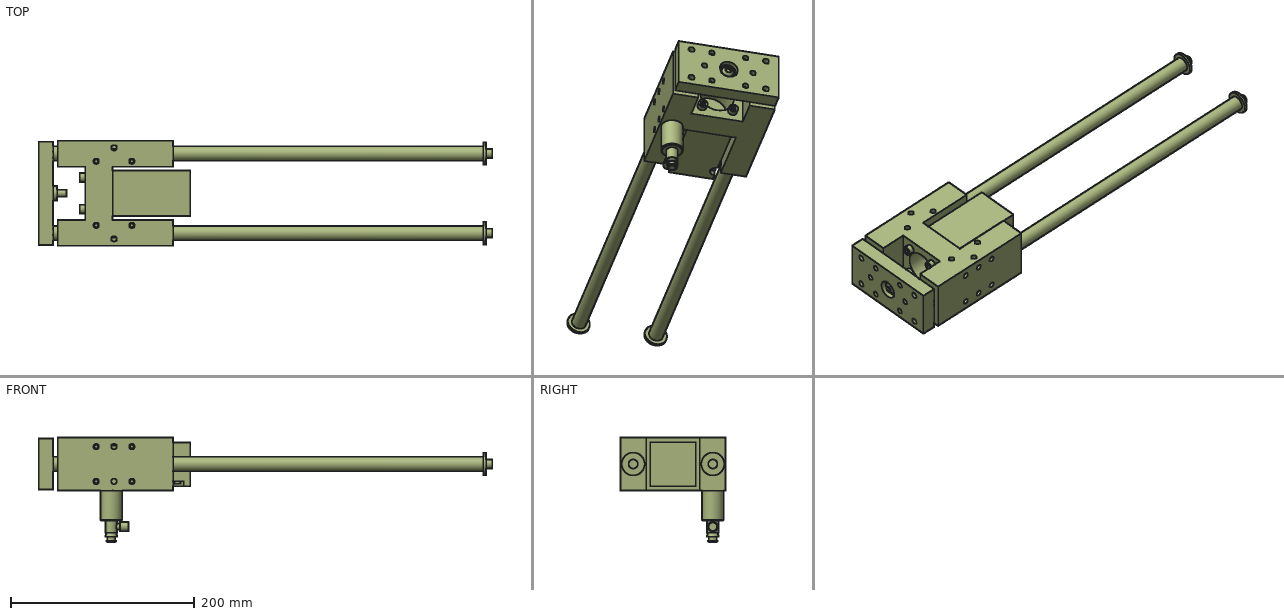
import cadquery as cq

overall_length = 496.0
overall_bottom_z = -85.36

housing_start_x = 21.0
housing_length = 126.0
housing_width = 115.0
housing_height = 58.0
web_start_x = 51.0
web_end_x = 81.0
arm_inner_y = 29.0
bore_diameter = 38.0
tap_diameter = 4.13
thread_diameter = 6.0
thread_depth = 6.0
tap_depth = 9.0
dowel_diameter = 6.0
dowel_depth = 9.0
hole_middle_x = 82.5
hole_pitch_x = 19.5
side_hole_z = 19.0
top_tapped_y = 35.0
top_dowel_y = 49.7

drive_end_x = 166.0
drive_width = 50.0
drive_bottom_z = -24.5
drive_top_z = 23.5
pocket_x = 151.8
pocket_diameter = 13.6
pocket_ceiling_z = -18.6
pocket_pin_y = -21.0
pocket_pin_diameter = 7.0
pocket_pin_end_z = -21.5

screw_spacing = 34.5
screw_head_diameter = 10.0
screw_head_height = 6.0
screw_hex_size = 5.0
screw_hex_depth = 4.0

fitting_x = 79.5
fitting_sleeve_diameter = 24.0
fitting_sleeve_end_z = -62.0
fitting_sleeve_chamfer = 1.2
fitting_body_diameter = 13.0
fitting_body_end_z = -75.2
fitting_neck_diameter = 11.0
fitting_collar_start_z = -78.7
fitting_collar_end_z = -79.5
fitting_stem_diameter = 9.0
fitting_lip_diameter = 11.0
fitting_lip_start_z = -83.6
fitting_lip_end_z = -84.4
fitting_tip_diameter = 8.0
knob_z = -68.5
knob_diameter = 10.5
knob_start_x = 88.7
knob_end_x = 98.7
knob_neck_diameter = 7.0
knob_chamfer = 0.6

plate_thickness = 16.0
plate_width = 113.0
plate_height = 56.0
plate_clearance_diameter = 6.6
plate_grid_z = 19.0
plate_clearance_y = 42.0
plate_tapped_y = 19.0
plate_dowel_y = 27.3
recess_diameter = 20.0
recess_depth = 6.0
head_rim_diameter = 16.0
head_rim_height = 1.5
head_cone_diameter = 13.5
head_flat_diameter = 7.5
head_cone_height = 3.5
head_socket_diameter = 6.5
head_socket_depth = 3.0
stud_flange_diameter = 16.0
stud_flange_end_x = 20.2
stud_diameter = 8.0
stud_end_x = 30.8

rod_spacing = 87.0
rod_diameter = 16.0
rod_end_x = 486.0
stop_diameter = 25.0
stop_thickness = 3.0
stop_screw_diameter = 10.0

housing_end_x = housing_start_x + housing_length
housing_bottom_z = -housing_height / 2
rod_positions_y = [-rod_spacing / 2, rod_spacing / 2]
fitting_y = rod_spacing / 2


def block(x_range, y_range, z_range):
    """Box between two limits on each axis."""
    size = [high - low for low, high in (x_range, y_range, z_range)]
    corner = (x_range[0], y_range[0], z_range[0])
    return cq.Workplane("XY").box(*size, centered=False).translate(corner)


def rod_along_x(diameter, start_x, end_x, y=0.0, z=0.0):
    """Round bar parallel to X."""
    plane = cq.Workplane("YZ", origin=(start_x, y, z))
    return plane.circle(diameter / 2).extrude(end_x - start_x)


def hex_along_x(across_flats, start_x, end_x, y=0.0, z=0.0):
    """Hexagonal bar parallel to X."""
    plane = cq.Workplane("YZ", origin=(start_x, y, z))
    return plane.polygon(6, across_flats, circumscribed=True).extrude(end_x - start_x)


def dowel_hole(point, direction):
    """Cutter for a blind dowel hole."""
    return cq.Workplane(cq.Solid.makeCylinder(
        dowel_diameter / 2, dowel_depth, cq.Vector(*point), cq.Vector(*direction)))


def tapped_hole(point, direction):
    """Cutter for a blind threaded hole: thread diameter, then the smaller tap drill."""
    start = cq.Vector(*point)
    axis = cq.Vector(*direction)
    thread = cq.Solid.makeCylinder(thread_diameter / 2, thread_depth, start, axis)
    drill = cq.Solid.makeCylinder(tap_diameter / 2, tap_depth, start, axis)
    return cq.Workplane(thread.fuse(drill))


def housing_block():
    """H-shaped block with the drive bore and a passage for each rod."""
    half_width = housing_width / 2
    half_height = housing_height / 2
    z_range = (-half_height, half_height)
    slot_y = (-arm_inner_y, arm_inner_y)
    body = block((housing_start_x, housing_end_x), (-half_width, half_width), z_range)
    body = body.cut(block((housing_start_x, web_start_x), slot_y, z_range))
    body = body.cut(block((web_end_x, housing_end_x), slot_y, z_range))
    body = body.cut(rod_along_x(bore_diameter, web_start_x, web_end_x))
    for y in rod_positions_y:
        body = body.cut(rod_along_x(rod_diameter, housing_start_x, housing_end_x, y))
    return body


def cut_mounting_holes(body):
    """Tapped and dowel holes in both long sides and in the top face."""
    tapped_x = [hole_middle_x - hole_pitch_x, hole_middle_x + hole_pitch_x]
    for side in (-1, 1):
        side_y = side * housing_width / 2
        inward = (0, -side, 0)
        for z in (-side_hole_z, side_hole_z):
            body = body.cut(dowel_hole((hole_middle_x, side_y, z), inward))
            for x in tapped_x:
                body = body.cut(tapped_hole((x, side_y, z), inward))

        top_z = housing_height / 2
        down = (0, 0, -1)
        body = body.cut(dowel_hole((hole_middle_x, side * top_dowel_y, top_z), down))
        for x in tapped_x:
            body = body.cut(tapped_hole((x, side * top_tapped_y, top_z), down))
    return body


def drive_unit():
    """Rectangular drive with a round pocket in its lower edge and a pin inside the pocket."""
    half_width = drive_width / 2
    drive = block((web_end_x, drive_end_x), (-half_width, half_width), (drive_bottom_z, drive_top_z))
    pocket_plane = cq.Workplane("XY", origin=(pocket_x, -half_width, drive_bottom_z))
    drive = drive.cut(pocket_plane.circle(pocket_diameter / 2).extrude(pocket_ceiling_z - drive_bottom_z))
    pin_plane = cq.Workplane("XY", origin=(pocket_x, pocket_pin_y, pocket_pin_end_z))
    pin = pin_plane.circle(pocket_pin_diameter / 2).extrude(pocket_ceiling_z - pocket_pin_end_z)
    return drive.union(pin)


def add_drive_screws(body):
    """Four socket head screws on the front face of the web."""
    offset = screw_spacing / 2
    head_front_x = web_start_x - screw_head_height
    for y in (-offset, offset):
        for z in (-offset, offset):
            head = rod_along_x(screw_head_diameter, head_front_x, web_start_x, y, z)
            socket = hex_along_x(screw_hex_size, head_front_x, head_front_x + screw_hex_depth, y, z)
            body = body.union(head.cut(socket))
    return body


def fitting():
    """Stepped vertical fitting with a side knob."""
    sleeve_r = fitting_sleeve_diameter / 2
    body_r = fitting_body_diameter / 2
    neck_r = fitting_neck_diameter / 2
    stem_r = fitting_stem_diameter / 2
    lip_r = fitting_lip_diameter / 2
    profile = [
        (0, housing_bottom_z),
        (sleeve_r, housing_bottom_z),
        (sleeve_r, fitting_sleeve_end_z + fitting_sleeve_chamfer),
        (sleeve_r - fitting_sleeve_chamfer, fitting_sleeve_end_z),
        (body_r, fitting_sleeve_end_z),
        (body_r, fitting_body_end_z),
        (neck_r, fitting_body_end_z),
        (body_r, fitting_collar_start_z),
        (body_r, fitting_collar_end_z),
        (stem_r, fitting_collar_end_z),
        (stem_r, fitting_lip_start_z),
        (lip_r, fitting_lip_start_z),
        (lip_r, fitting_lip_end_z),
        (fitting_tip_diameter / 2, overall_bottom_z),
        (0, overall_bottom_z),
    ]
    column = cq.Workplane("XZ").polyline(profile).close().revolve(360, (0, 0, 0), (0, 1, 0))
    column = column.translate((fitting_x, fitting_y, 0))
    neck = rod_along_x(knob_neck_diameter, fitting_x, knob_start_x, fitting_y, knob_z)
    knob = rod_along_x(knob_diameter, knob_start_x, knob_end_x, fitting_y, knob_z)
    knob = knob.faces("<X or >X").chamfer(knob_chamfer)
    return column.union(neck).union(knob)


housing = cut_mounting_holes(housing_block())
housing = add_drive_screws(housing.union(drive_unit()))
housing = housing.union(fitting())


def front_plate():
    """Front plate with its clearance, tapped and dowel holes and the central recess."""
    half_width = plate_width / 2
    half_height = plate_height / 2
    plate = block((0, plate_thickness), (-half_width, half_width), (-half_height, half_height))
    inward = (1, 0, 0)
    for side in (-1, 1):
        plate = plate.cut(dowel_hole((0, side * plate_dowel_y, 0), inward))
        for z in (-plate_grid_z, plate_grid_z):
            y = side * plate_clearance_y
            plate = plate.cut(rod_along_x(plate_clearance_diameter, 0, plate_thickness, y, z))
            plate = plate.cut(tapped_hole((0, side * plate_tapped_y, z), inward))
    return plate.cut(rod_along_x(recess_diameter, 0, recess_depth))


def coupling_screw():
    """Flanged, tapered head in the plate recess, with a flange and stud behind the plate."""
    rim_front_x = recess_depth - head_rim_height
    head_front_x = rim_front_x - head_cone_height
    rim = rod_along_x(head_rim_diameter, rim_front_x, recess_depth)
    cone = (
        cq.Workplane("YZ", origin=(head_front_x, 0, 0)).circle(head_flat_diameter / 2)
        .workplane(offset=head_cone_height).circle(head_cone_diameter / 2).loft()
    )
    socket = rod_along_x(head_socket_diameter, head_front_x, head_front_x + head_socket_depth)
    head = rim.union(cone).cut(socket)
    flange = rod_along_x(stud_flange_diameter, recess_depth, stud_flange_end_x)
    stud = rod_along_x(stud_diameter, recess_depth, stud_end_x)
    return head.union(flange).union(stud)


def guide_rod(y):
    """Guide rod from the plate to its end stop disc and stop screw."""
    stop_end_x = rod_end_x + stop_thickness
    rod = rod_along_x(rod_diameter, plate_thickness, rod_end_x, y)
    stop = rod_along_x(stop_diameter, rod_end_x, stop_end_x, y)
    screw = rod_along_x(stop_screw_diameter, stop_end_x, overall_length, y)
    return rod.union(stop).union(screw)


carriage = front_plate().union(coupling_screw())
for rod_y in rod_positions_y:
    carriage = carriage.union(guide_rod(rod_y))

result = cq.Compound.makeCompound([housing.val(), carriage.val()])